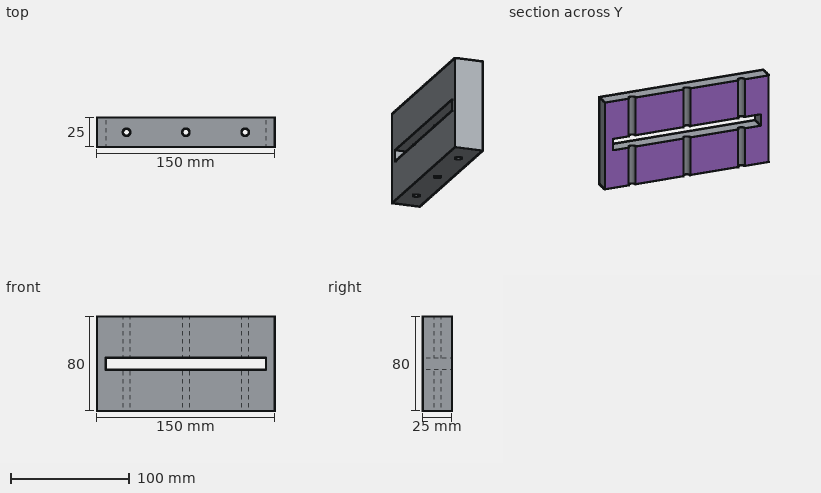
import cadquery as cq

length = 150.0
thickness = 25.0
height = 80.0

slot_length = 135.0
slot_height = 10.0

hole_diameter = 6.0
hole_count = 3
hole_pitch = length / hole_count


def make_block():
    return cq.Workplane("XY").box(length, thickness, height)


def make_slot():
    return cq.Workplane("XY").box(slot_length, thickness, slot_height)


def make_holes():
    """Evenly spaced cylinders along X, centred on the block."""
    return (
        cq.Workplane("XY")
        .workplane(offset=-height / 2)
        .rarray(hole_pitch, 1, hole_count, 1)
        .circle(hole_diameter / 2)
        .extrude(height)
    )


result = make_block().cut(make_slot()).cut(make_holes())